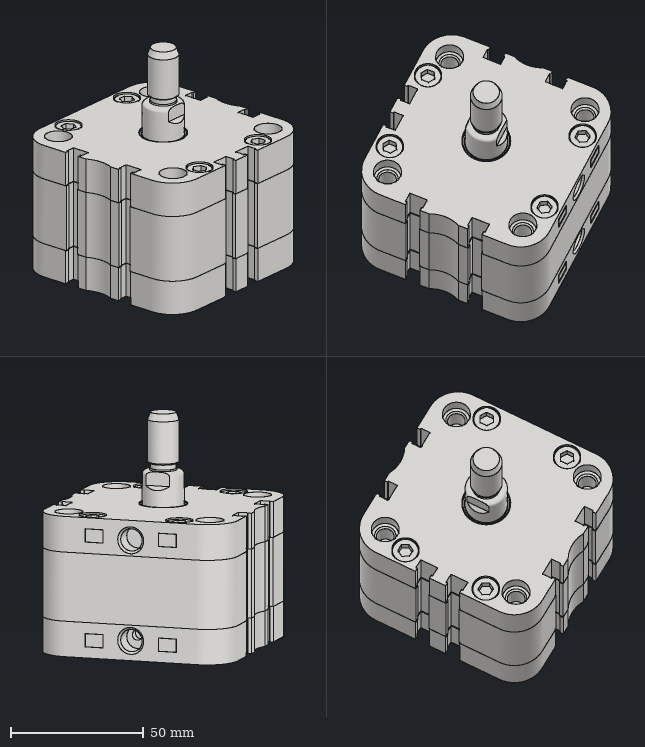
import cadquery as cq
import math

SIDE = 77.0
HALF = SIDE / 2
CORNER_RADIUS = 12.0
CAP_HEIGHT = 13.7
BARREL_HEIGHT = 26.5
BARREL_BASE_Z = CAP_HEIGHT
HEAD_BASE_Z = CAP_HEIGHT + BARREL_HEIGHT
BLOCK_TOP_Z = HEAD_BASE_Z + CAP_HEIGHT
BORE_DIAMETER = 63.0

SLOT_LIP = 1.5
FRONT_SLOT_OFFSET = 12.9
SIDE_SLOT_OFFSET = 6.5
BARREL_SLOT = {"opening": 5.5, "inner": 6.8, "depth": 5.1}
CAP_SLOT = {"opening": 6.05, "inner": 7.2, "depth": 5.3}
GROOVE_WIDTH = 12.1
GROOVE_DEPTH = 1.4

MOUNT_PITCH = 56.25
MOUNT_COUNTERBORE_DIAMETER = 10.5
MOUNT_COUNTERBORE_DEPTH = 4.9
MOUNT_THREAD_DIAMETER = 8.0
MOUNT_CORE_DIAMETER = 6.7
SCREW_PITCH_X = 64.3
SCREW_PITCH_Y = 34.5
SCREW_RECESS_DIAMETER = 10.3
SCREW_HEAD_DIAMETER = 9.8
SCREW_HEAD_SINK = 0.5
SCREW_GAP_DEPTH = 1.1
HEX_ACROSS_FLATS = 5.0
HEX_DEPTH = 2.7

PORT_EDGE_DISTANCE = 7.65
PORT_MOUTH_DIAMETER = 10.3
PORT_DIAMETER = 8.5
PORT_DEPTH = 8.0
PORT_PASSAGE_DIAMETER = 4.0
PORT_PASSAGE_LENGTH = 3.6
PORT_PASSAGE_RISE = 0.9
LABEL_WIDTH = 7.0
LABEL_HEIGHT = 5.1
LABEL_DEPTH = 0.3
LABEL_OFFSET = 14.6
LABEL_EDGE_DISTANCE = 6.85

ROD_TOP_Z = 89.0
ROD_DIAMETER = 16.0
ROD_SHOULDER_Z = 66.9
ROD_SHOULDER_FILLET = 1.7
THREAD_DIAMETER = 12.0
THREAD_BASE_Z = 69.95
THREAD_TIP_DIAMETER = 10.0
THREAD_TIP_HEIGHT = 2.85
RELIEF_DIAMETER = 10.0
RELIEF_CONE_HEIGHT = 0.6
RELIEF_FLARE_DIAMETER = 10.5
RELIEF_FLARE_HEIGHT = 0.5
WRENCH_FLAT_WIDTH = 13.0
WRENCH_FLAT_BASE_Z = 61.6

SEAT_MOUTH_DIAMETER = 18.5
SEAT_DIAMETER = 18.0
SEAT_DEPTH = 0.4
LIP_OUTER_DIAMETER = 17.7
LIP_INNER_DIAMETER = 16.55
LIP_DEPTH = 0.6


def slot_cutter(slot, height):
    """T-slot cutter along Z, with its mouth on the line Y = 0 and its floor at -Y."""
    half_inner = slot["inner"] / 2
    half_opening = slot["opening"] / 2
    return (
        cq.Workplane("XY")
        .moveTo(0, -slot["depth"])
        .lineTo(half_inner, -slot["depth"])
        .lineTo(half_inner, -SLOT_LIP)
        .lineTo(half_opening, -SLOT_LIP)
        .lineTo(half_opening, 0)
        .lineTo(0, 0)
        .mirrorY()
        .extrude(height)
    )


def groove_cutter(height):
    """Cutter along Z for the shallow round groove, with its mouth on the line Y = 0."""
    half_width = GROOVE_WIDTH / 2
    return (
        cq.Workplane("XY")
        .moveTo(-half_width, 0)
        .threePointArc((0, -GROOVE_DEPTH), (half_width, 0))
        .close()
        .extrude(height)
    )


def on_face(cutter, offset, angle):
    """Shift a cutter along the +Y face of the block, then turn it about Z onto its own face."""
    return cutter.translate((offset, HALF, 0)).rotate((0, 0, 0), (0, 0, 1), angle)


def profile_block(height, slot):
    """Rounded square prism with the slots and grooves of the common side profile."""
    block = cq.Workplane("XY").box(SIDE, SIDE, height, (True, True, False)).edges("|Z").fillet(CORNER_RADIUS)
    slot_tool = slot_cutter(slot, height)
    for side in (-1, 1):
        for face_angle in (0, 180):
            block = block.cut(on_face(slot_tool, side * FRONT_SLOT_OFFSET, face_angle))
        block = block.cut(on_face(slot_tool, side * SIDE_SLOT_OFFSET, -90))
    for face_angle in (0, 180):
        block = block.cut(on_face(groove_cutter(height), 0, face_angle))
    return block


def revolved(points):
    """Solid of revolution about Z from (radius, z) points."""
    return cq.Workplane("XZ").polyline(points).close().revolve(360, (0, 0), (0, 1))


def port_cutter(z):
    """Chamfered blind port bored from the -X face."""
    mouth = PORT_MOUTH_DIAMETER / 2
    bore = PORT_DIAMETER / 2
    tool = revolved([(0, 0), (mouth, 0), (bore, mouth - bore), (bore, PORT_DEPTH), (0, PORT_DEPTH)])
    return tool.rotate((0, 0, 0), (0, 1, 0), 90).translate((-HALF, 0, z))


def cut_labels(cap, z):
    """Two shallow rectangular label pockets on the -X face."""
    for side in (-1, 1):
        pocket = cq.Workplane("XY").box(2 * LABEL_DEPTH, LABEL_WIDTH, LABEL_HEIGHT)
        cap = cap.cut(pocket.translate((-HALF, side * LABEL_OFFSET, z)))
    return cap


def mount_hole_cutter():
    """Counterbored mounting hole through the head cap, with a chamfered core hole."""
    counterbore = MOUNT_COUNTERBORE_DIAMETER / 2
    thread = MOUNT_THREAD_DIAMETER / 2
    core = MOUNT_CORE_DIAMETER / 2
    floor_z = BLOCK_TOP_Z - MOUNT_COUNTERBORE_DEPTH
    return revolved([
        (0, HEAD_BASE_Z),
        (core, HEAD_BASE_Z),
        (core, floor_z - (thread - core)),
        (thread, floor_z),
        (counterbore, floor_z),
        (counterbore, BLOCK_TOP_Z),
        (0, BLOCK_TOP_Z),
    ])


def screw_head_cutter(hex_angle):
    """Recess that leaves a slightly sunken socket screw head with a ring gap around it."""
    recess = cq.Workplane("XY").circle(SCREW_RECESS_DIAMETER / 2).extrude(-SCREW_HEAD_SINK)
    gap = (
        cq.Workplane("XY")
        .circle(SCREW_RECESS_DIAMETER / 2)
        .circle(SCREW_HEAD_DIAMETER / 2)
        .extrude(-SCREW_GAP_DEPTH)
    )
    hex_corner_diameter = HEX_ACROSS_FLATS / math.cos(math.pi / 6)
    socket = cq.Workplane("XY").polygon(6, hex_corner_diameter).extrude(-SCREW_HEAD_SINK - HEX_DEPTH)
    socket = socket.rotate((0, 0, 0), (0, 0, 1), hex_angle)
    return recess.union(gap).union(socket)


def rod_hole_cutter():
    """Rod hole through the head cap, with the stepped wiper seat at its mouth."""
    mouth = SEAT_MOUTH_DIAMETER / 2
    seat = SEAT_DIAMETER / 2
    return revolved([
        (0, HEAD_BASE_Z),
        (ROD_DIAMETER / 2, HEAD_BASE_Z),
        (ROD_DIAMETER / 2, BLOCK_TOP_Z - LIP_DEPTH),
        (LIP_INNER_DIAMETER / 2, BLOCK_TOP_Z - LIP_DEPTH),
        (LIP_OUTER_DIAMETER / 2, BLOCK_TOP_Z - SEAT_DEPTH),
        (seat, BLOCK_TOP_Z - SEAT_DEPTH),
        (seat, BLOCK_TOP_Z - (mouth - seat)),
        (mouth, BLOCK_TOP_Z),
        (0, BLOCK_TOP_Z),
    ])


def make_end_cap():
    """Bottom cap: port with an air passage at its floor."""
    cap = profile_block(CAP_HEIGHT, CAP_SLOT)
    cap = cap.cut(port_cutter(PORT_EDGE_DISTANCE))
    passage = cq.Workplane("YZ").circle(PORT_PASSAGE_DIAMETER / 2).extrude(PORT_DEPTH + PORT_PASSAGE_LENGTH)
    cap = cap.cut(passage.translate((-HALF, 0, PORT_EDGE_DISTANCE + PORT_PASSAGE_RISE)))
    return cut_labels(cap, LABEL_EDGE_DISTANCE)


def make_barrel():
    """Middle section with the piston bore right through it."""
    barrel = profile_block(BARREL_HEIGHT, BARREL_SLOT)
    barrel = barrel.cut(cq.Workplane("XY").circle(BORE_DIAMETER / 2).extrude(BARREL_HEIGHT))
    return barrel.translate((0, 0, BARREL_BASE_Z))


def make_head_cap():
    """Top cap: rod hole, port, mounting holes and socket screw heads."""
    cap = profile_block(CAP_HEIGHT, CAP_SLOT).translate((0, 0, HEAD_BASE_Z))
    cap = cap.cut(rod_hole_cutter()).cut(port_cutter(BLOCK_TOP_Z - PORT_EDGE_DISTANCE))
    cap = cut_labels(cap, BLOCK_TOP_Z - LABEL_EDGE_DISTANCE)
    for x_side, hex_angle in ((-1, 30), (1, 0)):
        for y_side in (-1, 1):
            mount_place = (x_side * MOUNT_PITCH / 2, y_side * MOUNT_PITCH / 2, 0)
            screw_place = (x_side * SCREW_PITCH_X / 2, y_side * SCREW_PITCH_Y / 2, BLOCK_TOP_Z)
            cap = cap.cut(mount_hole_cutter().translate(mount_place))
            cap = cap.cut(screw_head_cutter(hex_angle).translate(screw_place))
    return cap


def wrench_flat_cutter():
    """Cutter for the +X wrench flat, with a 45 degree run-out at its lower end."""
    flat = WRENCH_FLAT_WIDTH / 2
    reach = ROD_DIAMETER / 2
    return (
        cq.Workplane("XZ")
        .polyline([
            (flat, WRENCH_FLAT_BASE_Z),
            (reach, WRENCH_FLAT_BASE_Z - (reach - flat)),
            (reach, ROD_SHOULDER_Z),
            (flat, ROD_SHOULDER_Z),
        ])
        .close()
        .extrude(ROD_DIAMETER / 2, both=True)
    )


def make_piston_rod():
    """Rod standing on the end cap, with two wrench flats and a relieved threaded stud."""
    shank = cq.Workplane("XY").workplane(offset=BARREL_BASE_Z).circle(ROD_DIAMETER / 2)
    shank = shank.extrude(ROD_SHOULDER_Z - BARREL_BASE_Z).faces(">Z").edges().fillet(ROD_SHOULDER_FILLET)
    flat_tool = wrench_flat_cutter()
    shank = shank.cut(flat_tool).cut(flat_tool.mirror("YZ"))
    relief = RELIEF_DIAMETER / 2
    thread = THREAD_DIAMETER / 2
    stud = revolved([
        (0, ROD_SHOULDER_Z),
        (RELIEF_FLARE_DIAMETER / 2, ROD_SHOULDER_Z),
        (relief, ROD_SHOULDER_Z + RELIEF_FLARE_HEIGHT),
        (relief, THREAD_BASE_Z - RELIEF_CONE_HEIGHT),
        (thread, THREAD_BASE_Z),
        (thread, ROD_TOP_Z - THREAD_TIP_HEIGHT),
        (THREAD_TIP_DIAMETER / 2, ROD_TOP_Z),
        (0, ROD_TOP_Z),
    ])
    return shank.union(stud)


end_cap = make_end_cap()
barrel = make_barrel()
head_cap = make_head_cap()
piston_rod = make_piston_rod()

result = cq.Compound.makeCompound([end_cap.val(), barrel.val(), head_cap.val(), piston_rod.val()])